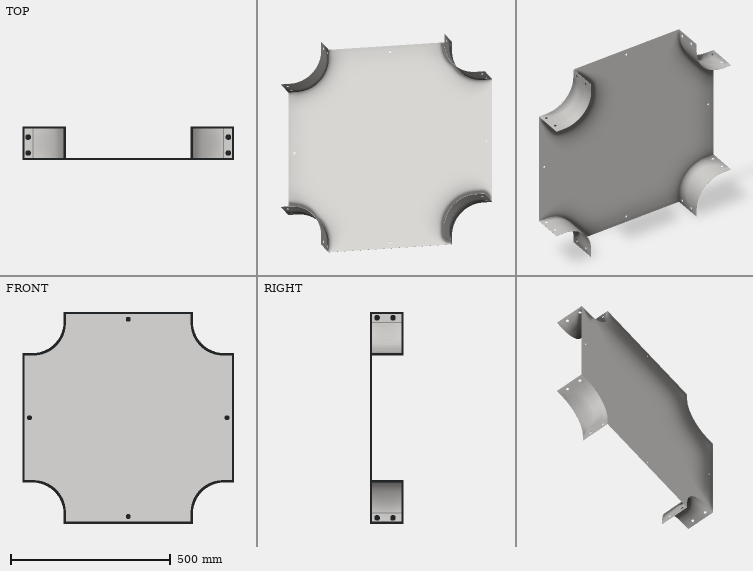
import cadquery as cq
import math


side = 660.0
opening = 400.0
sheet = 0.8

corner_radius = opening / 4
flange_length = (side - opening) / 2 - corner_radius
depth = corner_radius

plate_hole_diameter = 7.0
plate_hole_inset = 20.0

flange_hole_diameter = 9.0
flange_hole_inset = 15.0
flange_hole_from_rim = 30.5
flange_hole_spacing = 50.0
holes_per_flange = 2

half_side = side / 2
front_y = -depth / 2
rim_y = depth / 2
bend_center = half_side - flange_length
quadrant_angles = (0, 90, 180, 270)

x_axis = cq.Vector(1, 0, 0)
y_axis = cq.Vector(0, 1, 0)
z_axis = cq.Vector(0, 0, 1)


def corner_prism(offset):
    """Solid filling the +X +Z cutout, grown by offset into the part."""
    radius = corner_radius + offset
    edge = bend_center - radius
    arc_middle = bend_center - radius * math.sqrt(0.5)
    plane = cq.Plane(origin=(0, front_y, 0), xDir=z_axis, normal=y_axis)
    return (
        cq.Workplane(plane)
        .moveTo(half_side, half_side)
        .lineTo(edge, half_side)
        .lineTo(edge, bend_center)
        .threePointArc((arc_middle, arc_middle), (bend_center, edge))
        .lineTo(half_side, edge)
        .close()
        .extrude(depth)
    )


def corner_wall():
    """Thin wall along the +X +Z cutout, with drilled flanges."""
    wall = corner_prism(sheet).cut(corner_prism(0))
    position = half_side - flange_hole_inset
    radius = flange_hole_diameter / 2
    for index in range(holes_per_flange):
        y = rim_y - flange_hole_from_rim - index * flange_hole_spacing
        along_x = cq.Solid.makeCylinder(radius, half_side, cq.Vector(0, y, position), x_axis)
        along_z = cq.Solid.makeCylinder(radius, half_side, cq.Vector(position, y, 0), z_axis)
        wall = wall.cut(cq.Workplane(along_x)).cut(cq.Workplane(along_z))
    return wall


def plate_hole():
    """Drill through the plate near the middle of its +X edge."""
    start = cq.Vector(half_side - plate_hole_inset, front_y, 0)
    return cq.Workplane(cq.Solid.makeCylinder(plate_hole_diameter / 2, sheet, start, y_axis))


def turned(shape, angle):
    """Shape turned about the Y axis through the middle of the plate."""
    return shape.rotate((0, 0, 0), (0, 1, 0), angle)


cutout = corner_prism(0)
wall = corner_wall()
hole = plate_hole()

result = cq.Workplane("XY").box(side, sheet, side).translate((0, front_y + sheet / 2, 0))
for angle in quadrant_angles:
    result = result.cut(turned(cutout, angle))
    result = result.union(turned(wall, angle))
    result = result.cut(turned(hole, angle))